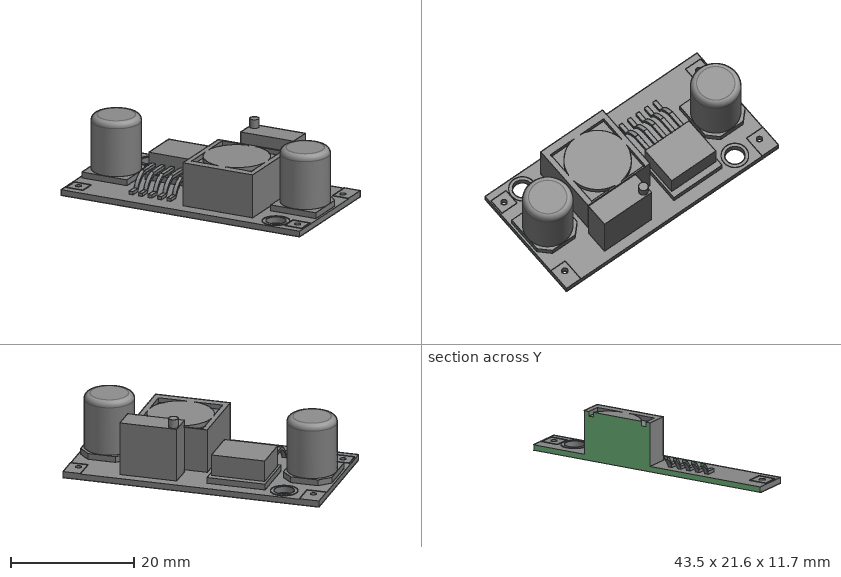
import cadquery as cq


board_length = 43.5
board_width = 21.6
board_thickness = 1.0
copper_height = 0.1
copper_top = board_thickness + copper_height

mount_hole_diameter = 3.3
mount_ring_diameter = 4.5
mount_centers = [(-14.95, 8.0), (16.1, -8.18)]

pad_hole_diameter = 1.0
pad_hole_x = 19.95
pad_hole_y = 8.05
rear_pad_length = 4.18
rear_pad_width_left = 3.35
rear_pad_width_right = 2.95
front_pad_width = 3.1
front_pad_length = 2.9
front_pad_side_gap = 0.25
front_pad_edge_gap = 1.25

capacitor_x = 17.23
capacitor_diameter = 8.2
capacitor_top = 11.25
capacitor_rounding = 1.0
capacitor_base_length = 8.5
capacitor_base_chamfer = 1.8
capacitor_base_top = 2.0

regulator_x = -6.95
tab_width = 9.87
tab_rear = 8.55
tab_front = -0.2
tab_top = 2.0
body_width = 9.05
body_rear = 7.45
body_front = 0.35
body_top = 5.55

lead_count = 5
lead_pitch = 1.75
lead_width = 0.7
lead_thickness = 0.52
lead_row_x = -7.15
lead_top = 3.83
lead_bend_y = -3.4
lead_mid_y = -4.9
lead_mid_z = 2.95
lead_foot_y = -5.9
lead_tip_y = -7.7

inductor_width = 12.7
inductor_length = 12.55
inductor_x = 5.7
inductor_y = -2.3
inductor_top = 8.4
well_size = 10.88
well_x = 5.65
well_y = -1.75
well_depth = 0.8
core_diameter = 10.95

trimmer_width = 9.65
trimmer_length = 4.25
trimmer_x = 7.8
trimmer_y = 6.95
trimmer_top = 10.0
screw_diameter = 1.55
screw_x = 3.83
screw_y = 8.05
screw_top = 11.5
pin_diameter = 1.0
pin_pitch = 1.52
pin_x = 4.45
pin_y = 7.4
pin_length = 0.2


def block(width, length, x, y, bottom, top):
    """Box centred on (x, y) between two heights."""
    return cq.Workplane("XY", origin=(x, y, bottom)).rect(width, length).extrude(top - bottom)


def cylinder(diameter, x, y, bottom, top):
    """Upright cylinder on (x, y) between two heights."""
    return cq.Workplane("XY", origin=(x, y, bottom)).circle(diameter / 2).extrude(top - bottom)


def make_rear_pad(side, width):
    """Pad in a rear corner, flush with both board edges."""
    x = side * (board_length - width) / 2
    y = (board_width - rear_pad_length) / 2
    return block(width, rear_pad_length, x, y, 0, copper_top)


def make_front_pad(side):
    """Pad near a front corner, set in from the board edges."""
    x = side * ((board_length - front_pad_width) / 2 - front_pad_side_gap)
    y = front_pad_edge_gap - (board_width - front_pad_length) / 2
    return block(front_pad_width, front_pad_length, x, y, 0, copper_top)


def make_board():
    """Bare board with its copper and all through holes."""
    board = block(board_length, board_width, 0, 0, 0, board_thickness)
    board = board.union(make_rear_pad(-1, rear_pad_width_left))
    board = board.union(make_rear_pad(1, rear_pad_width_right))
    for side in (-1, 1):
        board = board.union(make_front_pad(side))
    for x, y in mount_centers:
        board = board.union(cylinder(mount_ring_diameter, x, y, 0, copper_top))
    for x, y in mount_centers:
        board = board.cut(cylinder(mount_hole_diameter, x, y, 0, copper_top))
    for x in (-pad_hole_x, pad_hole_x):
        for y in (-pad_hole_y, pad_hole_y):
            board = board.cut(cylinder(pad_hole_diameter, x, y, 0, copper_top))
    return board


def make_capacitor(x):
    """Round can with a rounded rim on a base with two clipped rear corners."""
    base = block(capacitor_diameter, capacitor_base_length, x, 0, 0, capacitor_base_top)
    base = base.edges("|Z and >Y").chamfer(capacitor_base_chamfer)
    can = cylinder(capacitor_diameter, x, 0, 0, capacitor_top)
    can = can.faces(">Z").edges().fillet(capacitor_rounding)
    return base.union(can)


def make_lead(x):
    """Flat lead that leaves the body, curves down and ends in a foot on the board."""
    foot_top = board_thickness + lead_thickness
    profile = (
        cq.Workplane("YZ", origin=(x - lead_width / 2, 0, 0))
        .moveTo(body_front, lead_top)
        .lineTo(lead_bend_y, lead_top)
        .threePointArc((lead_mid_y, lead_mid_z), (lead_foot_y, foot_top))
        .lineTo(lead_tip_y, foot_top)
        .lineTo(lead_tip_y, board_thickness)
        .lineTo(lead_foot_y, board_thickness)
        .threePointArc((lead_mid_y, lead_mid_z - lead_thickness), (lead_bend_y, lead_top - lead_thickness))
        .lineTo(body_front, lead_top - lead_thickness)
        .close()
    )
    return profile.extrude(lead_width)


def make_regulator():
    """Regulator body on its metal tab, with a row of leads."""
    tab_y = (tab_rear + tab_front) / 2
    body_y = (body_rear + body_front) / 2
    tab = block(tab_width, tab_rear - tab_front, regulator_x, tab_y, 0, tab_top)
    body = block(body_width, body_rear - body_front, regulator_x, body_y, 0, body_top)
    regulator = tab.union(body)
    for index in range(lead_count):
        offset = (index - (lead_count - 1) / 2) * lead_pitch
        regulator = regulator.union(make_lead(lead_row_x + offset))
    return regulator


def make_inductor():
    """Square inductor whose round core leaves four corner pockets in the top."""
    well_floor = inductor_top - well_depth
    block_body = block(inductor_width, inductor_length, inductor_x, inductor_y, 0, inductor_top)
    well = block(well_size, well_size, well_x, well_y, well_floor, inductor_top)
    core = cylinder(core_diameter, well_x, well_y, well_floor, inductor_top)
    return block_body.cut(well.cut(core))


def make_trimmer():
    """Trimmer box with an adjusting screw on top and three pins under the board."""
    trimmer = block(trimmer_width, trimmer_length, trimmer_x, trimmer_y, 0, trimmer_top)
    trimmer = trimmer.union(cylinder(screw_diameter, screw_x, screw_y, 0, screw_top))
    for step in (-1, 0, 1):
        pin = cylinder(pin_diameter, pin_x + step * pin_pitch, pin_y, -pin_length, board_thickness)
        trimmer = trimmer.union(pin)
    return trimmer


result = make_board()
for capacitor_side in (-1, 1):
    result = result.union(make_capacitor(capacitor_side * capacitor_x))
result = result.union(make_regulator())
result = result.union(make_inductor())
result = result.union(make_trimmer())